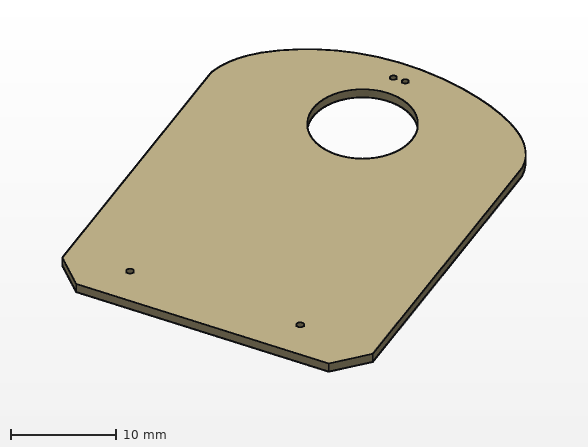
import cadquery as cq

width = 32.9
length = 43.85
thickness = 1.0
half_width = width / 2

left_cut_x = 3.0
left_cut_y = 3.0
right_cut_x = 3.05
right_cut_y = 3.2

left_side_top = 34.45
right_side_top = 34.8
crown_apex_x = -0.45
crown_left_points = [(-14.73, 38.05), (-11.4, 40.85), (-6.25, 43.1)]
crown_right_points = [(6.4, 42.85), (11.45, 40.9), (14.8, 38.3)]

window_diameter = 10.5
window_center = (-0.1, 33.92)

top_hole_diameter = 0.65
top_hole_spacing = 1.25
top_hole_y = 41.5

bottom_hole_diameter = 0.75
bottom_hole_y = 4.05
bottom_left_hole_x = -9.77
bottom_right_hole_x = 8.33


def make_plate():
    """Flat plate with two cut bottom corners and a curved top edge."""
    crown = [
        *crown_right_points[::-1],
        (crown_apex_x, length),
        *crown_left_points[::-1],
        (-half_width, left_side_top),
    ]
    return (
        cq.Workplane("XY")
        .moveTo(-half_width + left_cut_x, 0)
        .lineTo(half_width - right_cut_x, 0)
        .lineTo(half_width, right_cut_y)
        .lineTo(half_width, right_side_top)
        .spline(crown, includeCurrent=True)
        .lineTo(-half_width, left_cut_y)
        .close()
        .extrude(thickness)
    )


def drill(plate, diameter, centers):
    """Cut round holes of one diameter right through the plate."""
    holes = cq.Workplane("XY").pushPoints(centers).circle(diameter / 2).extrude(thickness)
    return plate.cut(holes)


top_holes = [(side * top_hole_spacing / 2, top_hole_y) for side in (-1, 1)]
bottom_holes = [(x, bottom_hole_y) for x in (bottom_left_hole_x, bottom_right_hole_x)]

result = make_plate()
result = drill(result, window_diameter, [window_center])
result = drill(result, top_hole_diameter, top_holes)
result = drill(result, bottom_hole_diameter, bottom_holes)